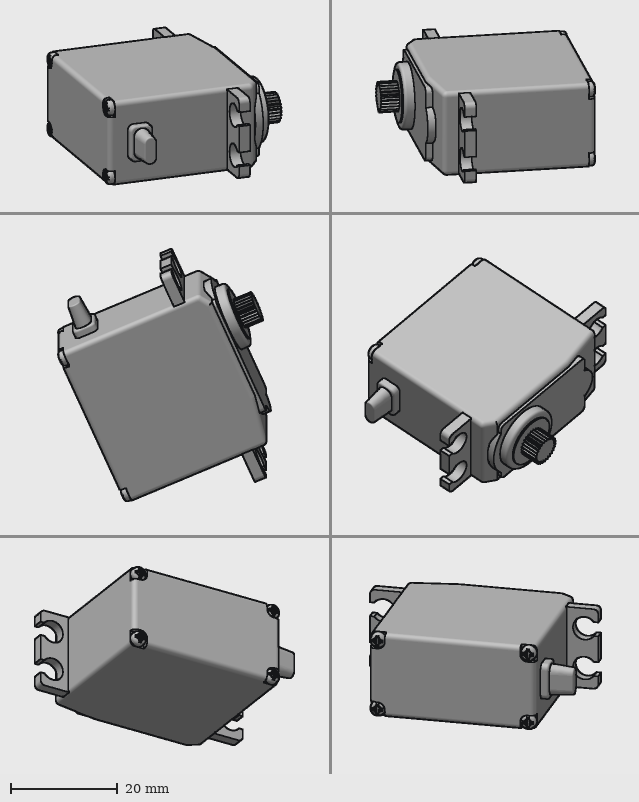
import cadquery as cq
import math


case_length = 32.1
case_thickness = 16.6
case_front = 30.67
shoulder_height = 29.05
left_slope_start = -6.45
right_slope_start = 13.7
case_fillet = 0.97

overall_length = 44.2
lug_rear = 23.85
lug_thickness = 2.2
lug_width = 15.9
lug_corner_radius = 0.97
lug_hole_radius = 2.25
lug_hole_x = 19.45
lug_hole_z = 4
lug_slot_width = 2.8

shaft_x = 7.35
plate_rear = 29.8
plate_front = 31.35
plate_left = -10.25
plate_right = 13.4
plate_width = 14.6
plate_corner_radius = 1.0
idler_lobe_x = -8.45
idler_lobe_radius = 4
shaft_lobe_radius = 8.15

boss_radius = 6.35
boss_front = 33.33
boss_fillet = 0.57
ring_radius = 5.05
ring_front = 33.6

boot_y = 6.1
flange_height = 4.5
flange_width = 7.05
flange_corner_radius = 1.1
flange_end = 17.6
flange_fillet = 0.45
boot_center_spacing = 2.9
boot_base_radius = 1.6
boot_tip_radius = 1.2
boot_tip_fillet = 0.25

notch_size = 2.95
notch_depth = 1.3
screw_dome_height = 0.7
recess_depth = 0.65
recess_arm_length = 2.05
recess_arm_width = 0.45
recess_flare_sides = 4
recess_flare_half_diagonal = 0.95
recess_flare_depth = 0.35

spline_front = 37.15
spline_tooth_count = 25
spline_tip_radius = 2.9
spline_root_radius = 2.48


def plane_facing_front(y):
    """Plane parallel to XZ at height y, with local x = X, local y = -Z and normal = +Y."""
    return cq.Workplane(cq.Plane(origin=(0, y, 0), xDir=(1, 0, 0), normal=(0, 1, 0)))


def make_case():
    """Hexagonal outline through the thickness, all outer edges rounded except the two obtuse ones."""
    half_length = case_length / 2
    outline = [
        (-half_length, 0),
        (half_length, 0),
        (half_length, shoulder_height),
        (right_slope_start, case_front),
        (left_slope_start, case_front),
        (-half_length, shoulder_height),
    ]
    case = cq.Workplane("XY").polyline(outline).close().extrude(case_thickness / 2, both=True)
    return case.edges("<Z or >Z or (|Z and (<X or >X))").fillet(case_fillet)


def make_lugs():
    """One bar through the case, with two open keyhole slots at each end."""
    bar = plane_facing_front(lug_rear).rect(overall_length, lug_width).extrude(lug_thickness)
    bar = bar.edges("|Y").fillet(lug_corner_radius)
    end_x = overall_length / 2
    for side in (-1, 1):
        holes = [(side * lug_hole_x, z) for z in (-lug_hole_z, lug_hole_z)]
        slots = [(side * end_x, z) for z in (-lug_hole_z, lug_hole_z)]
        slot_length = 2 * (end_x - lug_hole_x)
        sketch = plane_facing_front(lug_rear)
        bar = bar.cut(sketch.pushPoints(holes).circle(lug_hole_radius).extrude(lug_thickness))
        bar = bar.cut(sketch.pushPoints(slots).rect(slot_length, lug_slot_width).extrude(lug_thickness))
    return bar


def make_gear_cover():
    """Rounded plate with a lobe at each end, the shaft lobe trimmed to the plate width."""
    thickness = plate_front - plate_rear
    at_idler = plane_facing_front(plate_rear).center(idler_lobe_x, 0)
    at_shaft = plane_facing_front(plate_rear).center(shaft_x, 0)
    plate = (
        plane_facing_front(plate_rear)
        .center((plate_left + plate_right) / 2, 0)
        .rect(plate_right - plate_left, plate_width)
        .extrude(thickness)
        .edges("|Y")
        .fillet(plate_corner_radius)
    )
    idler_lobe = at_idler.circle(idler_lobe_radius).extrude(thickness)
    shaft_lobe = at_shaft.circle(shaft_lobe_radius).extrude(thickness)
    trim = at_shaft.rect(2 * shaft_lobe_radius, plate_width).extrude(thickness)
    return plate.union(idler_lobe).union(shaft_lobe.intersect(trim))


def make_bearing_boss():
    """Round boss on the gear cover with a thin bearing ring on top."""
    on_plate = plane_facing_front(plate_front).center(shaft_x, 0)
    boss = on_plate.circle(boss_radius).extrude(boss_front - plate_front)
    boss = boss.faces(">Y").edges().fillet(boss_fillet)
    on_boss = plane_facing_front(boss_front).center(shaft_x, 0)
    ring = on_boss.circle(ring_radius).extrude(ring_front - boss_front)
    return boss.union(ring)


def make_cable_boot():
    """Rounded flange on the +X side carrying a tapered boot of stadium section."""
    case_side = case_length / 2
    flange = (
        cq.Workplane("YZ", origin=(case_side, boot_y, 0))
        .rect(flange_height, flange_width)
        .extrude(flange_end - case_side)
        .edges("|X")
        .fillet(flange_corner_radius)
        .faces(">X")
        .edges()
        .fillet(flange_fillet)
    )
    boot = (
        cq.Workplane("YZ", origin=(flange_end, boot_y, 0))
        .slot2D(boot_center_spacing + 2 * boot_base_radius, 2 * boot_base_radius, 90)
        .workplane(offset=overall_length / 2 - flange_end)
        .slot2D(boot_center_spacing + 2 * boot_tip_radius, 2 * boot_tip_radius, 90)
        .loft(ruled=True)
        .faces(">X")
        .edges()
        .fillet(boot_tip_fillet)
    )
    return flange.union(boot)


def make_screw_head(x, z):
    """Domed head facing -Y with a flared cross recess."""
    radius = notch_size / 2
    at_rear = cq.Workplane("XZ", origin=(x, 0, z))
    head = at_rear.circle(radius).extrude(-notch_depth).faces("<Y").edges().fillet(screw_dome_height)
    cross = at_rear.rect(recess_arm_length, recess_arm_width).extrude(-recess_depth)
    cross = cross.union(at_rear.rect(recess_arm_width, recess_arm_length).extrude(-recess_depth))
    flare = at_rear.polygon(recess_flare_sides, 2 * recess_flare_half_diagonal).extrude(-recess_flare_depth)
    return head.cut(cross).cut(flare)


def make_notch(x, z, side_x, side_z):
    """Square corner notch whose inner corner is rounded concentric with the screw head."""
    notch = cq.Workplane("XZ", origin=(x, 0, z)).rect(notch_size, notch_size).extrude(-notch_depth)
    inner_corner = cq.Vector(x - side_x * notch_size / 2, notch_depth / 2, z - side_z * notch_size / 2)
    return notch.edges("|Y").edges(cq.NearestToPointSelector(inner_corner)).fillet(notch_size / 2)


def make_housing():
    """Case, lugs, gear cover, boss, cable boot and corner screws joined into one solid."""
    housing = make_case().union(make_lugs()).union(make_gear_cover()).union(make_bearing_boss())
    housing = housing.union(make_cable_boot())
    screw_x = (case_length - notch_size) / 2
    screw_z = (case_thickness - notch_size) / 2
    for side_x in (-1, 1):
        for side_z in (-1, 1):
            x = side_x * screw_x
            z = side_z * screw_z
            housing = housing.cut(make_notch(x, z, side_x, side_z)).union(make_screw_head(x, z))
    return cq.Workplane(housing.solids().val())


def make_output_spline():
    """Straight spline standing on the bearing ring, with V-shaped teeth."""
    half_pitch = math.pi / spline_tooth_count
    outline = []
    for step in range(2 * spline_tooth_count):
        radius = spline_tip_radius if step % 2 == 0 else spline_root_radius
        angle = step * half_pitch
        outline.append((radius * math.cos(angle), radius * math.sin(angle)))
    sketch = plane_facing_front(ring_front).center(shaft_x, 0)
    return sketch.polyline(outline).close().extrude(spline_front - ring_front)


housing = make_housing()
output_spline = make_output_spline()

result = cq.Compound.makeCompound([housing.val(), output_spline.val()])